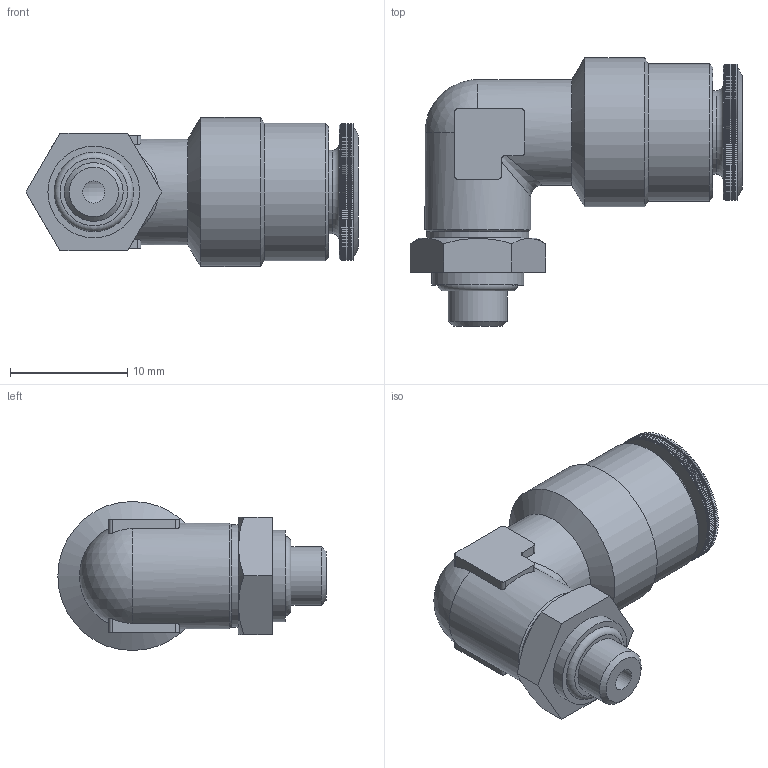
import cadquery as cq
import math


tube_radius = 9.0 / 2
inner_corner_fillet = 1.0
tube_end_chamfer = 0.15
stub_tube_length = 8.45

pad_height = 4.85
pad_arm_end = 4.0
pad_half_width = 2.0
pad_corner_radius = 0.3

neck_radius = 8.7 / 2
hex_start = 9.0
hex_end = 11.92
hex_across_flats = 10.0
hex_chamfer_radius = 4.95
hex_chamfer_angle = 30.0
collar_radius = 7.8 / 2
collar_end = 13.0
seal_radius = 6.75 / 2
seal_end = 13.5
thread_radius = 5.0 / 2
thread_end = 16.5
thread_chamfer = 0.4

socket_start = 8.0
cone_end = 9.1
socket_radius = 12.7 / 2
step_start = 14.2
step_end = 14.5
sleeve_radius = 11.7 / 2
sleeve_end = 20.0
sleeve_chamfer = 0.3

ring_neck_radius = 7.1 / 2
ring_start = 20.9
ring_neck_fillet = 0.6
ring_radius = 11.6 / 2
ring_edge_chamfer = 0.2
knurl_depth = 0.1
knurl_root_radius = ring_radius - knurl_depth
knurl_end = 22.1
knurl_groove_center = 21.76
knurl_groove_depth = 0.1
tooth_count = 200
ring_end = 22.5
ring_end_radius = 11.2 / 2
ring_face_radius = 9.7 / 2

stub_bore_radius = 1.9 / 2
passage_radius = 4.0 / 2
passage_bend_radius = 2.5


def revolve_about_x(profile):
    return profile.close().revolve(360, (0, 0, 0), (1, 0, 0))


def revolve_about_y(profile):
    return profile.close().revolve(360, (0, 0, 0), (0, 1, 0))


def elbow():
    stub_tube = (
        cq.Workplane("XZ").circle(tube_radius).extrude(stub_tube_length)
        .faces("<Y").chamfer(tube_end_chamfer)
    )
    socket_tube = cq.Workplane("YZ").circle(tube_radius).extrude(socket_start)
    body = stub_tube.union(socket_tube)
    near_corner = (0, -tube_radius, -tube_radius)
    far_corner = (tube_radius, 0, tube_radius)
    body = body.edges(cq.selectors.BoxSelector(near_corner, far_corner)).fillet(inner_corner_fillet)
    return body.union(cq.Workplane("XY").sphere(tube_radius))


def pads():
    outline = [
        (-pad_half_width, pad_half_width),
        (pad_arm_end, pad_half_width),
        (pad_arm_end, -pad_half_width),
        (pad_half_width, -pad_half_width),
        (pad_half_width, -pad_arm_end),
        (-pad_half_width, -pad_arm_end),
    ]
    return (
        cq.Workplane("XY").polyline(outline).close()
        .extrude(pad_height, both=True)
        .edges("|Z").fillet(pad_corner_radius)
    )


def threaded_stub():
    seal_rounding = seal_end - collar_end
    seal_face_radius = seal_radius - seal_rounding
    profile = (
        cq.Workplane("XY").moveTo(0, 0)
        .lineTo(neck_radius, 0)
        .lineTo(neck_radius, -hex_start)
        .lineTo(collar_radius, -hex_start)
        .lineTo(collar_radius, -collar_end)
        .lineTo(seal_radius, -collar_end)
        .radiusArc((seal_face_radius, -seal_end), seal_rounding)
        .lineTo(thread_radius, -seal_end)
        .lineTo(thread_radius, thread_chamfer - thread_end)
        .lineTo(thread_radius - thread_chamfer, -thread_end)
        .lineTo(0, -thread_end)
    )
    return revolve_about_y(profile)


def hex_nut():
    corner_radius = hex_across_flats / 2 / math.cos(math.pi / 6)
    chamfer_drop = (corner_radius - hex_chamfer_radius) * math.tan(math.radians(hex_chamfer_angle))
    prism = (
        cq.Workplane("XZ", origin=(0, -hex_start, 0))
        .polygon(6, 2 * corner_radius).extrude(hex_end - hex_start)
    )
    chamfered_round = revolve_about_y(
        cq.Workplane("XY").moveTo(0, -hex_start)
        .lineTo(hex_chamfer_radius, -hex_start)
        .lineTo(corner_radius, -hex_start - chamfer_drop)
        .lineTo(corner_radius, -hex_end)
        .lineTo(0, -hex_end)
    )
    return prism.intersect(chamfered_round)


def socket_body():
    profile = (
        cq.Workplane("XY").moveTo(socket_start, 0)
        .lineTo(socket_start, tube_radius)
        .lineTo(cone_end, socket_radius)
        .lineTo(step_start, socket_radius)
        .lineTo(step_end, sleeve_radius)
        .lineTo(sleeve_end - sleeve_chamfer, sleeve_radius)
        .lineTo(sleeve_end, sleeve_radius - sleeve_chamfer)
        .lineTo(sleeve_end, 0)
    )
    return revolve_about_x(profile)


def ring_core():
    profile = (
        cq.Workplane("XY").moveTo(sleeve_end, 0)
        .lineTo(sleeve_end, ring_neck_radius)
        .lineTo(ring_start - ring_neck_fillet, ring_neck_radius)
        .radiusArc((ring_start, ring_neck_radius + ring_neck_fillet), -ring_neck_fillet)
        .lineTo(ring_start, knurl_root_radius)
        .lineTo(knurl_end, knurl_root_radius)
        .lineTo(knurl_end, ring_end_radius)
        .lineTo(ring_end, ring_face_radius)
        .lineTo(ring_end, 0)
    )
    return revolve_about_x(profile)


def knurl():
    def rim_point(radius, half_steps):
        angle = math.pi * half_steps / tooth_count
        return (radius * math.cos(angle), radius * math.sin(angle))

    outline = []
    for tooth in range(tooth_count):
        outline.append(rim_point(ring_radius, 2 * tooth))
        outline.append(rim_point(knurl_root_radius, 2 * tooth + 1))
    teeth = (
        cq.Workplane("YZ", origin=(ring_start, 0, 0))
        .polyline(outline).close().extrude(knurl_end - ring_start)
    )
    envelope = revolve_about_x(
        cq.Workplane("XY").moveTo(ring_start, 0)
        .lineTo(ring_start, ring_radius - ring_edge_chamfer)
        .lineTo(ring_start + ring_edge_chamfer, ring_radius)
        .lineTo(knurl_groove_center - knurl_groove_depth, ring_radius)
        .lineTo(knurl_groove_center, ring_radius - knurl_groove_depth)
        .lineTo(knurl_groove_center + knurl_groove_depth, ring_radius)
        .lineTo(knurl_end, ring_radius)
        .lineTo(knurl_end, 0)
    )
    return teeth.intersect(envelope)


def flow_passage():
    bend_middle = passage_bend_radius * (1 - math.sqrt(0.5))
    center_line = (
        cq.Workplane("XY").moveTo(0, -hex_start)
        .lineTo(0, -passage_bend_radius)
        .threePointArc((bend_middle, -bend_middle), (passage_bend_radius, 0))
        .lineTo(ring_end, 0)
    )
    passage = cq.Workplane("XZ", origin=(0, -hex_start, 0)).circle(passage_radius).sweep(center_line)
    stub_bore = (
        cq.Workplane("XZ", origin=(0, -hex_start, 0))
        .circle(stub_bore_radius).extrude(thread_end - hex_start)
    )
    return passage.union(stub_bore)


result = (
    elbow()
    .union(pads())
    .union(threaded_stub())
    .union(hex_nut())
    .union(socket_body())
    .union(ring_core())
    .union(knurl())
    .cut(flow_passage())
)